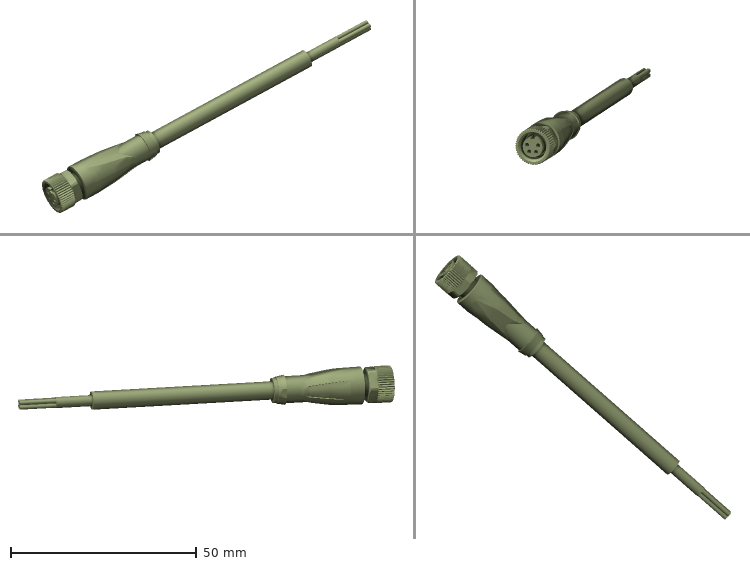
import cadquery as cq
import math


TOTAL_LENGTH = 103.0
STRIP_LENGTH = 10.0
SHEATH_END = TOTAL_LENGTH - STRIP_LENGTH
JACKET_END = SHEATH_END - STRIP_LENGTH
JACKET_RADIUS = 2.5
SHEATH_DIAMETER = 3.0
SHEATH_RADIUS = SHEATH_DIAMETER / 2
WIRE_RADIUS = 0.6

GRIP_FRONT = 8.4
GRIP_RIM_END = 10.8
GRIP_HEIGHT = 10.2
GRIP_WIDTH = 10.0
GRIP_RADIUS = GRIP_HEIGHT / 2
GRIP_WIDTH_RATIO = GRIP_WIDTH / GRIP_HEIGHT
WAIST_DIAMETER = 7.3
WAIST_RADIUS = WAIST_DIAMETER / 2
FLARE_END = 26.4
FLARE_STATIONS = [(17.4, 4.8), (22.4, 4.2), (FLARE_END, WAIST_RADIUS)]
TONGUE_POINTS = [(16.5, 4.6), (22.0, WAIST_RADIUS), (24.9, 2.5)]
COLLAR_FRONT = 29.8
COLLAR_BACK = 32.0
COLLAR_DIAMETER = 8.1
COLLAR_RADIUS = COLLAR_DIAMETER / 2
GRIP_BACK = 33.1
GRIP_END_RADIUS = 3.4
JACKET_SOCKET_DEPTH = 8.2
SOCKET_BOTTOM = GRIP_BACK - JACKET_SOCKET_DEPTH

PANEL_FRONT = 12.4
PANEL_ARC_CENTRE = 23.4
PANEL_TIP_RADIUS = 1.2
PANEL_FRONT_HALF_WIDTH = 2.2
PANEL_DEPTH = 0.3
PANEL_BASE = 3.1
PANEL_WALL_SLOPE = 30

ARROW_HALF_WIDTH = 1.1
ARROW_SHOULDER = 30.9
ARROW_TIP = 31.6

NUT_FRONT = 0.2
KNURL_BACK = 4.7
NUT_BACK = 7.1
NUT_DIAMETER = 10.0
NUT_RADIUS = NUT_DIAMETER / 2
TOOTH_COUNT = 48
TOOTH_DEPTH = 0.3
TIP_CLEARANCE = 0.1
NUT_CHAMFER = 0.3
HEX_SIDES = 6
HEX_ACROSS_FLATS = 9.0
NUT_BORE_RADIUS = 3.6
NUT_BORE_CHAMFER = 0.5
NUT_BORE_DEPTH = 4.3

CARRIER_RADIUS = 2.8
NECK_RADIUS = 3.1
CARRIER_BACK = 12.4
CONTACT_CIRCLE_RADIUS = 1.6
CONTACT_ANGLES = [18, 162, 234, 306]
CONTACT_HOLE_RADIUS = 0.57
CONTACT_HOLE_DEPTH = 3.1
KEY_WIDTH = 1.2
KEY_FLOOR = 2.0
KEY_LENGTH = 3.1
RING_RADIUS = 0.37
RING_CENTRE_RADIUS = CARRIER_RADIUS + RING_RADIUS
SHOULDER = NUT_FRONT + NUT_BORE_DEPTH
RING_POSITION = SHOULDER - RING_RADIUS


def cylinder(radius, start, end, x=0.0, z=0.0):
    """Cylinder along Y between two Y positions."""
    return cq.Workplane("XZ", origin=(x, start, z)).circle(radius).extrude(start - end)


def turned(outline):
    """Revolve a closed (radius, Y) outline about the Y axis."""
    return outline.close().revolve(360, (0, 0, 0), (0, 1, 0))


def flare_section(y, radius):
    """Elliptical cross-section of the grip, narrower along X."""
    centre = cq.Vector(0, y, 0)
    return cq.Wire.makeEllipse(
        GRIP_WIDTH_RATIO * radius, radius, centre, cq.Vector(0, 1, 0), cq.Vector(1, 0, 0)
    )


def make_flare(inset):
    """Flare lofted from the rim back to the waist.

    An inset lowers it behind the panel front and raises it by as much at the rim.
    """
    sections = [
        flare_section(GRIP_RIM_END, GRIP_RADIUS + inset),
        flare_section(PANEL_FRONT, GRIP_RADIUS),
    ]
    for y, radius in FLARE_STATIONS:
        sections.append(flare_section(y, radius - inset))
    return cq.Workplane(cq.Solid.makeLoft(sections))


def make_rim():
    section = cq.Workplane("XZ", origin=(0, GRIP_FRONT, 0))
    section = section.ellipse(GRIP_WIDTH_RATIO * GRIP_RADIUS, GRIP_RADIUS)
    return section.extrude(GRIP_FRONT - GRIP_RIM_END)


def make_tongue():
    """Prism along X whose rounded outline trims the flare above and below."""
    upper = TONGUE_POINTS + [(FLARE_END, 0)]
    lower = [(y, -z) for y, z in reversed(TONGUE_POINTS)] + [(GRIP_RIM_END, -GRIP_RADIUS)]
    return (
        cq.Workplane("YZ")
        .moveTo(GRIP_RIM_END, GRIP_RADIUS)
        .spline(upper + lower, tangents=[(1, 0), (-1, 0)], includeCurrent=True)
        .close()
        .extrude(GRIP_RADIUS, both=True)
    )


def make_panel_cutter(side):
    """U-shaped prism with sloping walls on one X side that leaves the inset flare standing."""
    prism = (
        cq.Workplane("YZ", origin=(side * PANEL_BASE, 0, 0))
        .moveTo(GRIP_RIM_END, -PANEL_FRONT_HALF_WIDTH)
        .lineTo(PANEL_ARC_CENTRE, -PANEL_TIP_RADIUS)
        .threePointArc(
            (PANEL_ARC_CENTRE + PANEL_TIP_RADIUS, 0), (PANEL_ARC_CENTRE, PANEL_TIP_RADIUS)
        )
        .lineTo(GRIP_RIM_END, PANEL_FRONT_HALF_WIDTH)
        .close()
        .extrude(side * (GRIP_RADIUS - PANEL_BASE), taper=-PANEL_WALL_SLOPE)
    )
    return prism.cut(make_flare(PANEL_DEPTH))


def make_arrow_cutter(side):
    """Pentagonal prism on one X side, with its floor level with the waist."""
    return (
        cq.Workplane("YZ", origin=(side * WAIST_RADIUS, 0, 0))
        .moveTo(COLLAR_FRONT, -ARROW_HALF_WIDTH)
        .lineTo(ARROW_SHOULDER, -ARROW_HALF_WIDTH)
        .lineTo(ARROW_TIP, 0)
        .lineTo(ARROW_SHOULDER, ARROW_HALF_WIDTH)
        .lineTo(COLLAR_FRONT, ARROW_HALF_WIDTH)
        .close()
        .extrude(side * COLLAR_RADIUS)
    )


def make_grip():
    flare = make_flare(0).intersect(make_tongue())
    for side in (-1, 1):
        flare = flare.cut(make_panel_cutter(side))
    tail = turned(
        cq.Workplane("XY")
        .moveTo(0, GRIP_FRONT)
        .lineTo(WAIST_RADIUS, GRIP_FRONT)
        .lineTo(WAIST_RADIUS, COLLAR_FRONT)
        .lineTo(COLLAR_RADIUS, COLLAR_FRONT)
        .lineTo(WAIST_RADIUS, COLLAR_BACK)
        .lineTo(GRIP_END_RADIUS, COLLAR_BACK)
        .lineTo(GRIP_END_RADIUS, GRIP_BACK)
        .lineTo(0, GRIP_BACK)
    )
    body = flare.union(make_rim()).union(tail)
    for side in (-1, 1):
        body = body.cut(make_arrow_cutter(side))
    body = body.cut(cylinder(JACKET_RADIUS, SOCKET_BOTTOM, GRIP_BACK))
    return body.cut(cylinder(NECK_RADIUS, GRIP_FRONT, CARRIER_BACK))


def make_knurl():
    half_step = math.pi / TOOTH_COUNT
    outline = []
    for i in range(2 * TOOTH_COUNT):
        radius = NUT_RADIUS - TOOTH_DEPTH * (i % 2)
        outline.append((radius * math.cos(i * half_step), radius * math.sin(i * half_step)))
    teeth = cq.Workplane("XZ", origin=(0, NUT_FRONT, 0)).polyline(outline).close()
    teeth = teeth.extrude(NUT_FRONT - KNURL_BACK)
    blank = cylinder(NUT_RADIUS + TIP_CLEARANCE, NUT_FRONT, KNURL_BACK)
    return teeth.intersect(blank.edges().chamfer(NUT_CHAMFER))


def make_hexagon():
    corner_diameter = HEX_ACROSS_FLATS / math.cos(math.pi / HEX_SIDES)
    hexagon = cq.Workplane("XZ", origin=(0, KNURL_BACK, 0)).polygon(HEX_SIDES, corner_diameter)
    hexagon = hexagon.extrude(KNURL_BACK - NUT_BACK)
    blank = cylinder(NUT_RADIUS, KNURL_BACK, NUT_BACK)
    return hexagon.intersect(blank.faces(">Y").chamfer(NUT_CHAMFER))


def make_nut():
    bore = turned(
        cq.Workplane("XY")
        .moveTo(0, NUT_FRONT)
        .lineTo(NUT_BORE_RADIUS + NUT_BORE_CHAMFER, NUT_FRONT)
        .lineTo(NUT_BORE_RADIUS, NUT_FRONT + NUT_BORE_CHAMFER)
        .lineTo(NUT_BORE_RADIUS, SHOULDER)
        .lineTo(NECK_RADIUS, SHOULDER)
        .lineTo(NECK_RADIUS, NUT_BACK)
        .lineTo(0, NUT_BACK)
    )
    return make_knurl().union(make_hexagon()).cut(bore)


def make_carrier():
    body = cylinder(CARRIER_RADIUS, 0, SHOULDER).union(cylinder(NECK_RADIUS, SHOULDER, CARRIER_BACK))
    for angle in CONTACT_ANGLES:
        x = CONTACT_CIRCLE_RADIUS * math.cos(math.radians(angle))
        z = CONTACT_CIRCLE_RADIUS * math.sin(math.radians(angle))
        body = body.cut(cylinder(CONTACT_HOLE_RADIUS, 0, CONTACT_HOLE_DEPTH, x, z))
    keyway = cq.Workplane("XY", origin=(0, 0, KEY_FLOOR)).rect(KEY_WIDTH, 2 * KEY_LENGTH)
    return body.cut(keyway.extrude(CARRIER_RADIUS))


def make_seal_ring():
    section = cq.Workplane("XY").center(RING_CENTRE_RADIUS, RING_POSITION).circle(RING_RADIUS)
    return section.revolve(360, (-RING_CENTRE_RADIUS, 0, 0), (-RING_CENTRE_RADIUS, 1, 0))


def make_wire(x, z):
    return cylinder(WIRE_RADIUS, SHEATH_END, TOTAL_LENGTH, x, z)


grip = make_grip()
nut = make_nut()
carrier = make_carrier()
seal_ring = make_seal_ring()
jacket = cylinder(JACKET_RADIUS, SOCKET_BOTTOM, JACKET_END)
sheath = cylinder(SHEATH_RADIUS, JACKET_END, SHEATH_END)
wires = [make_wire(x, z) for x in (-WIRE_RADIUS, WIRE_RADIUS) for z in (-WIRE_RADIUS, WIRE_RADIUS)]

result = cq.Compound.makeCompound(
    [
        grip.val(),
        nut.val(),
        carrier.val(),
        seal_ring.val(),
        jacket.val(),
        sheath.val(),
        *[wire.val() for wire in wires],
    ]
)